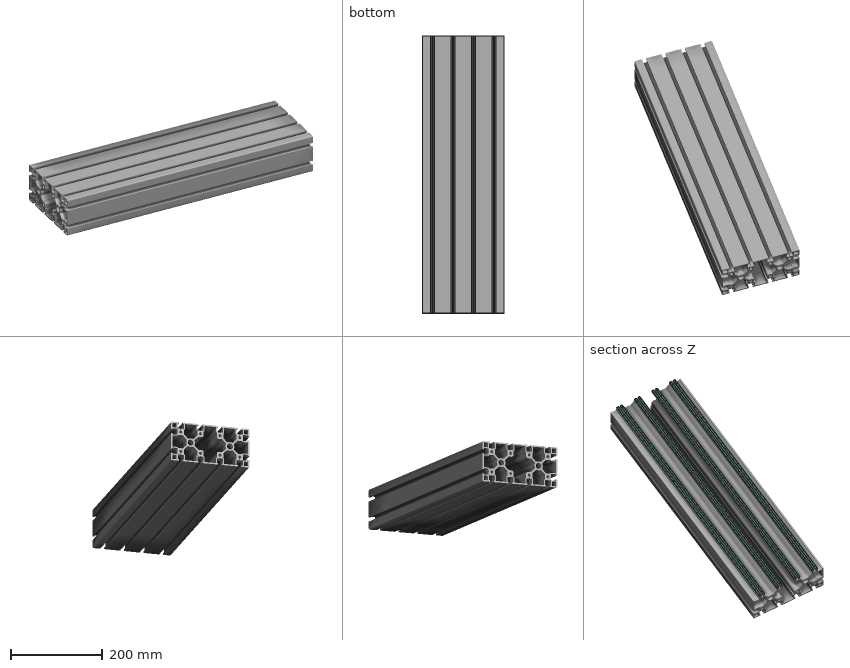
import cadquery as cq
import math

length = 609.5
width = 180.0
module = width / 4
height = 2 * module

skin = 3.0
corner_radius = 3.0

slot_opening = 9.0
chamber_width = 14.0
lip_thickness = 3.5
web = 2.5
web_foot = 1.0
slot_floor = 14.5

core_size = 14.5
core_radius = 5.0
core_hole = 7.0
slit_width = 0.5
groove_width = 3.0
groove_depth = 1.0

tube_outer = 20.0
tube_bore = 13.5
rib = 3.5
rib_root_radius = 3.0

core_x = (-1.5 * module, -0.5 * module, 0.5 * module, 1.5 * module)
core_z = (-0.5 * module, 0.5 * module)
tube_x = (-module, module)
core_points = [(x, z) for x in core_x for z in core_z]
tube_points = [(x, 0) for x in tube_x]

wide_face_slots = [(x, height / 2, turn) for x in core_x for turn in (0, 180)]
end_face_slots = [(z, width / 2, turn) for z in core_z for turn in (90, 270)]
slots = wide_face_slots + end_face_slots


def bar(x_size, z_size, x=0.0, z=0.0):
    """Full-length rectangular bar centred on (x, z)."""
    return cq.Workplane("XY").box(x_size, length, z_size).translate((x, 0, z))


def rods(points, diameter):
    """Full-length round rods at the given (x, z) points."""
    sketch = cq.Workplane("XZ", origin=(0, length / 2, 0)).pushPoints(points)
    return sketch.circle(diameter / 2).extrude(length)


def face_bar(slot, bar_width, top_depth, bottom_depth):
    """Bar centred on a slot, between two depths below its outer face."""
    place, face, turn = slot
    middle = face - (top_depth + bottom_depth) / 2
    bar_at_top = bar(bar_width, bottom_depth - top_depth, place, middle)
    return bar_at_top.rotate((0, 0, 0), (0, 1, 0), turn)


def slot_prism(slot, points):
    """Full-length prism from (offset across the slot, depth below the face) points."""
    place, face, turn = slot
    outline = [(place + across, face - depth) for across, depth in points]
    prism = cq.Workplane("XZ", origin=(0, length / 2, 0)).polyline(outline).close().extrude(length)
    return prism.rotate((0, 0, 0), (0, 1, 0), turn)


def floor_groove(slot):
    """Small V-groove along the middle of the slot floor."""
    half = groove_width / 2
    return slot_prism(slot, [(-half, slot_floor), (half, slot_floor), (0, slot_floor + groove_depth)])


def hole_throat(slot):
    """Narrow slit from the slot floor that opens at 45 degrees onto the core hole."""
    half = slit_width / 2
    tangent = core_hole / 2 * math.cos(math.radians(45))
    tangent_depth = module / 2 - tangent
    mouth_depth = tangent_depth - (tangent - half)
    return slot_prism(
        slot,
        [
            (-half, slot_floor),
            (half, slot_floor),
            (half, mouth_depth),
            (tangent, tangent_depth),
            (-tangent, tangent_depth),
            (-half, mouth_depth),
        ],
    )


def make_skin():
    """Closed rectangular outer wall, rounded outside."""
    outer = bar(width, height).edges("|Y").fillet(corner_radius)
    return outer.cut(bar(width - 2 * skin, height - 2 * skin))


def make_ribbed_tube(x, z):
    """Solid tube at (x, z) with ribs to the centres of the four cores around it."""
    span = math.sqrt(2) * module
    star = rods([(0, 0)], tube_outer).union(bar(span, rib)).union(bar(rib, span))
    roots = cq.selectors.BoxSelector(
        (-tube_outer / 2, -length, -tube_outer / 2),
        (tube_outer / 2, length, tube_outer / 2),
    )
    star = star.edges("|Y").edges(roots).fillet(rib_root_radius)
    return star.rotate((0, 0, 0), (0, 1, 0), 45).translate((x, 0, z))


def make_core(x, z):
    """Square core at (x, z); the cores around the middle cavity have one rounded corner."""
    core = bar(core_size, core_size, x, z)
    if abs(x) > module:
        return core
    inner_side = "<X" if x > 0 else ">X"
    inner_end = "<Z" if z > 0 else ">Z"
    return core.edges("|Y").edges(inner_side).edges(inner_end).fillet(core_radius)


result = make_skin()
for x, z in tube_points:
    result = result.union(make_ribbed_tube(x, z))
for x, z in core_points:
    result = result.union(make_core(x, z))
for slot in slots:
    result = result.union(face_bar(slot, chamber_width + 2 * web, skin / 2, slot_floor + web_foot))

for slot in slots:
    result = result.cut(face_bar(slot, slot_opening, 0, slot_floor))
    result = result.cut(face_bar(slot, chamber_width, lip_thickness, slot_floor))
    result = result.cut(floor_groove(slot))

for slot in wide_face_slots:
    result = result.cut(hole_throat(slot))
result = result.cut(rods(core_points, core_hole))
result = result.cut(rods(tube_points, tube_bore))